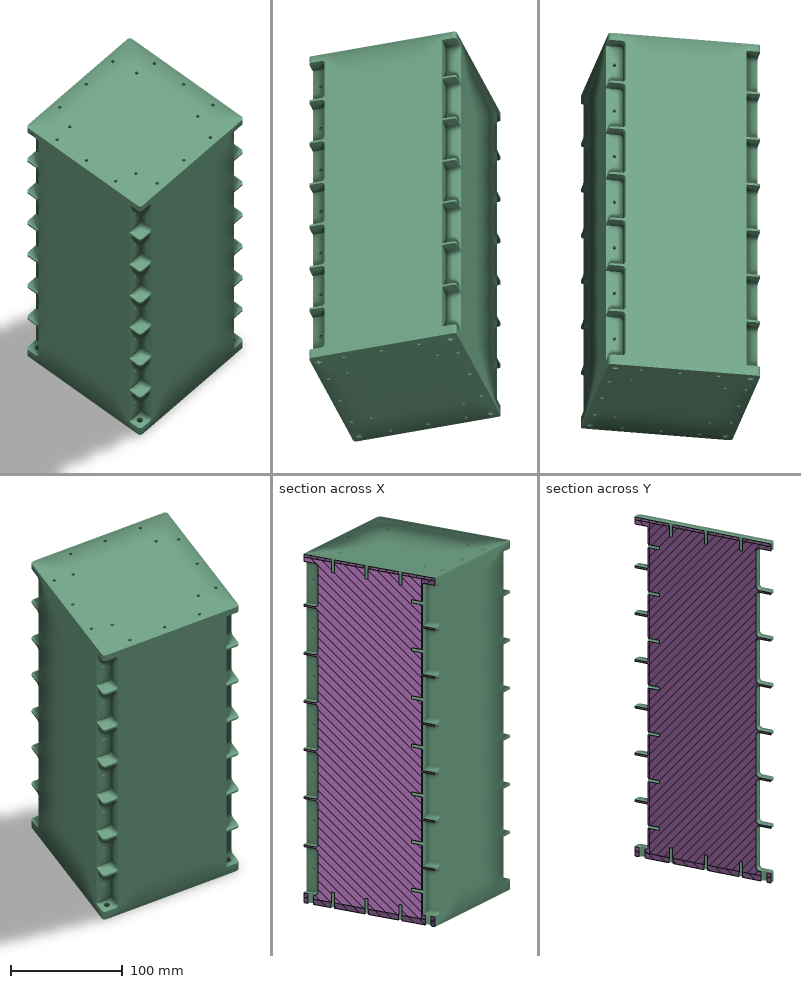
import cadquery as cq

BOX_WIDTH = 138.0
BOX_HEIGHT = 326.8
CORNER_RADIUS = 3.0
TOP_THICKNESS = 2.5
BASE_THICKNESS = 5.0

PANEL_COUNT = 4
PANEL_THICKNESS = 15.0
PANEL_LENGTH = BOX_WIDTH - PANEL_THICKNESS
PANEL_HEIGHT = BOX_HEIGHT - TOP_THICKNESS - BASE_THICKNESS

POCKET_COUNT = 7
POCKET_WIDTH = PANEL_THICKNESS
POCKET_RADIUS = 3.0
FLANGE_THICKNESS = 2.0
POCKET_DEPTH = PANEL_THICKNESS - FLANGE_THICKNESS
END_SHELF = 4.5
RIB_THICKNESS = 2.0
TOP_POCKET_SHORTFALL = 3.0
POCKETS_BOTTOM = BASE_THICKNESS + END_SHELF
POCKETS_TOP = BOX_HEIGHT - TOP_THICKNESS - END_SHELF
POCKET_PITCH = (POCKETS_TOP - POCKETS_BOTTOM + TOP_POCKET_SHORTFALL + RIB_THICKNESS) / POCKET_COUNT
POCKET_HEIGHT = POCKET_PITCH - RIB_THICKNESS

CLEARANCE_DIAMETER = 3.2
THREAD_DIAMETER = 2.5
THREAD_DEPTH = 9.8
FOOT_HOLE_DIAMETER = 5.5
EDGE_INSET = PANEL_THICKNESS / 2
EDGE_SCREW_SPACING = 35.3
EDGE_SCREW_SHIFT = 3.0
PANEL_SCREW_HEIGHTS = [
    POCKETS_BOTTOM + POCKET_HEIGHT / 2 + i * POCKET_PITCH for i in range(POCKET_COUNT)
]

FRONT_MOUNT_X = 40.0
FRONT_MOUNT_Y = -42.8
BACK_MOUNT_X = 37.0
BACK_MOUNT_Y = 42.8

HALF = BOX_WIDTH / 2
CORNER_SCREW = HALF - EDGE_INSET


def cylinder(diameter, start, direction, length):
    """A round cutter that begins at start and runs along direction."""
    solid = cq.Solid.makeCylinder(diameter / 2, length, cq.Vector(*start), cq.Vector(*direction))
    return cq.Workplane(solid)


def edge_screw_points():
    """Three screw places over the front panel, in the middle of its thickness."""
    return [(i * EDGE_SCREW_SPACING - EDGE_SCREW_SHIFT, -CORNER_SCREW) for i in (-1, 0, 1)]


def turned(body, quarter):
    """The body turned about the box's axis by a number of quarter turns."""
    return body.rotate((0, 0, 0), (0, 0, 1), quarter * 360 / PANEL_COUNT)


def make_pocket(index):
    """Pocket open to the panel's outer face and end, with round inner corners."""
    bottom = POCKETS_BOTTOM + index * POCKET_PITCH
    top = min(bottom + POCKET_HEIGHT, POCKETS_TOP)
    return (
        cq.Workplane("XY")
        .box(2 * POCKET_WIDTH, POCKET_DEPTH, top - bottom, centered=(True, False, False))
        .edges("|Y")
        .fillet(POCKET_RADIUS)
        .translate((-HALF, -HALF, bottom))
    )


def make_front_panel():
    """Wall panel on the -Y side, with its pockets at the -X end."""
    panel = (
        cq.Workplane("XY")
        .box(PANEL_LENGTH, PANEL_THICKNESS, PANEL_HEIGHT, centered=False)
        .translate((-HALF, -HALF, BASE_THICKNESS))
        .edges("|Z and <X and <Y")
        .fillet(CORNER_RADIUS)
    )
    for index in range(POCKET_COUNT):
        panel = panel.cut(make_pocket(index))

    far_end = -HALF + PANEL_LENGTH
    for z in PANEL_SCREW_HEIGHTS:
        flange_face = (-CORNER_SCREW, -HALF + POCKET_DEPTH, z)
        panel = panel.cut(cylinder(CLEARANCE_DIAMETER, flange_face, (0, 1, 0), FLANGE_THICKNESS))
        panel = panel.cut(cylinder(THREAD_DIAMETER, (far_end, -CORNER_SCREW, z), (-1, 0, 0), THREAD_DEPTH))

    panel_top = BASE_THICKNESS + PANEL_HEIGHT
    for x, y in edge_screw_points():
        panel = panel.cut(cylinder(THREAD_DIAMETER, (x, y, panel_top), (0, 0, -1), THREAD_DEPTH))
        panel = panel.cut(cylinder(THREAD_DIAMETER, (x, y, BASE_THICKNESS), (0, 0, 1), THREAD_DEPTH))

    return panel.cut(
        cylinder(FOOT_HOLE_DIAMETER, (-CORNER_SCREW, -CORNER_SCREW, BASE_THICKNESS), (0, 0, 1), END_SHELF)
    )


def make_plate(thickness, mount_diameter):
    """Square plate with its edge screw holes and the equipment holes."""
    mounts = [
        (side * x, y)
        for side in (-1, 1)
        for x, y in ((FRONT_MOUNT_X, FRONT_MOUNT_Y), (BACK_MOUNT_X, BACK_MOUNT_Y))
    ]
    plate = (
        cq.Workplane("XY")
        .box(BOX_WIDTH, BOX_WIDTH, thickness, centered=(True, True, False))
        .edges("|Z")
        .fillet(CORNER_RADIUS)
        .faces(">Z")
        .workplane()
        .pushPoints(mounts)
        .hole(mount_diameter)
    )
    edge_holes = (
        cq.Workplane("XY")
        .pushPoints(edge_screw_points())
        .circle(CLEARANCE_DIAMETER / 2)
        .extrude(thickness)
    )
    for quarter in range(PANEL_COUNT):
        plate = plate.cut(turned(edge_holes, quarter))
    return plate


def make_top_plate():
    return make_plate(TOP_THICKNESS, CLEARANCE_DIAMETER).translate((0, 0, BOX_HEIGHT - TOP_THICKNESS))


def make_base_plate():
    """Base plate, with foot holes that continue those in the panels."""
    return (
        make_plate(BASE_THICKNESS, THREAD_DIAMETER)
        .faces(">Z")
        .workplane()
        .rect(2 * CORNER_SCREW, 2 * CORNER_SCREW, forConstruction=True)
        .vertices()
        .hole(FOOT_HOLE_DIAMETER)
    )


front_panel = make_front_panel()
panels = [turned(front_panel, -quarter).val() for quarter in range(PANEL_COUNT)]
top_plate = make_top_plate()
base_plate = make_base_plate()

result = cq.Compound.makeCompound([*panels, top_plate.val(), base_plate.val()])